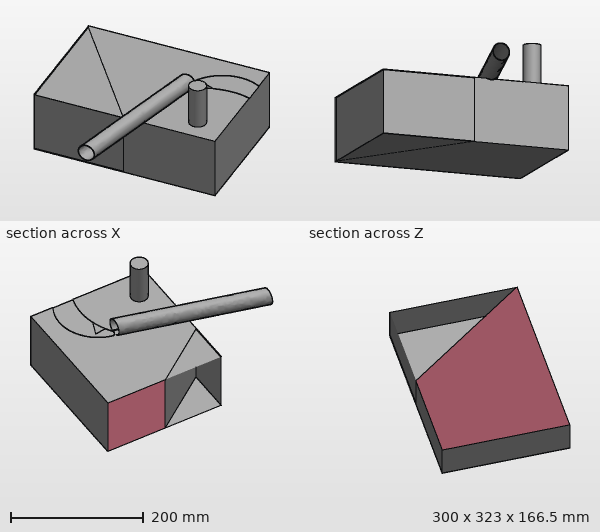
import cadquery as cq
import math

block_length = 300.0
block_width = 200.0
block_height = 100.0
wall = 1.0

chamber_front_length = 150.0

peg_diameter = 27.5
peg_x = 255.0
peg_y = 36.2
peg_height = 66.5

tube_diameter = 27.5
tube_sink = 2.0
tube_front_x = 143.0
tube_front_y = -123.0
tube_back_x = 203.3
tube_back_y = 111.0

recess_depth = 1.0
recess_left = (199.5, 116.7)
recess_inner_start = (209.0, 111.8)
recess_tip = (203.5, 110.5)
outer_arc_middle = (233.7, 162.0)
outer_arc_end_y = 161.0
inner_arc_middle = (240.5, 126.7)
inner_arc_end_y = 126.0
island_height = recess_depth / 2
island_corners = [(216.2, 136.0), (219.0, 117.3), inner_arc_middle]


def make_block():
    return cq.Workplane("XY").box(block_length, block_width, block_height, centered=False)


def make_chamber():
    """Triangular void whose faces all lie one wall inside the corner."""
    slant_length = math.hypot(chamber_front_length, block_width)
    inradius = chamber_front_length * block_width / (chamber_front_length + block_width + slant_length)
    shrink = 1 - wall / inradius
    corners = [
        (wall, wall),
        (wall + chamber_front_length * shrink, wall),
        (wall, wall + block_width * shrink),
    ]
    floor = cq.Workplane("XY").workplane(offset=wall)
    return floor.polyline(corners).close().extrude(block_height - 2 * wall)


def make_recess():
    """Curved band with a low triangular island left standing on its floor."""
    floor = cq.Workplane("XY").workplane(offset=block_height - recess_depth)
    band = (
        floor.moveTo(*recess_left)
        .threePointArc(outer_arc_middle, (block_length, outer_arc_end_y))
        .lineTo(block_length, inner_arc_end_y)
        .threePointArc(inner_arc_middle, recess_inner_start)
        .threePointArc(recess_tip, recess_left)
        .close()
        .extrude(recess_depth)
    )
    island = floor.polyline(island_corners).close().extrude(island_height)
    return band.cut(island)


def make_peg():
    peg_base = cq.Workplane("XY").workplane(offset=block_height)
    return peg_base.center(peg_x, peg_y).circle(peg_diameter / 2).extrude(peg_height)


def slanted_cylinder(diameter):
    """Cylinder sheared along X so both round ends stay square to Y."""
    axis_z = block_height + tube_diameter / 2 - tube_sink
    front = cq.Workplane("XZ", origin=(tube_front_x, tube_front_y, axis_z))
    back = cq.Workplane("XZ", origin=(tube_back_x, tube_back_y, axis_z))
    end_wires = [end.circle(diameter / 2).wires().val() for end in (front, back)]
    return cq.Workplane(cq.Solid.makeLoft(end_wires, True))


def make_tube():
    return slanted_cylinder(tube_diameter).cut(slanted_cylinder(tube_diameter - 2 * wall))


body = make_block().cut(make_recess()).union(make_peg()).union(make_tube())
result = body.cut(make_chamber())